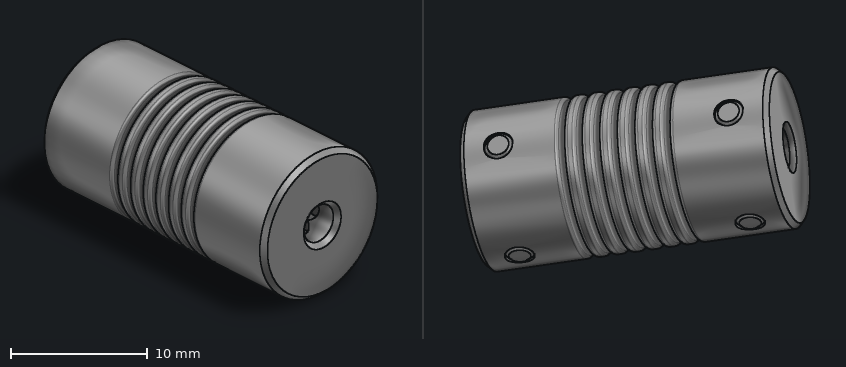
import cadquery as cq

coupling_length = 23.5
half_length = coupling_length / 2
outer_radius = 6.0
hub_length = 7.5
end_chamfer = 0.4

groove_count = 7
groove_width = 0.5
groove_floor_radius = 3.5
rim_fillet = 0.25
flex_length = coupling_length - 2 * hub_length
groove_pitch = (flex_length - groove_width) / (groove_count - 1)

bore_radius = 1.5
bore_chamfer = 0.4

screw_radius = 1.1
screw_length = 4.0
screw_flat_radius = 0.815
screw_end_chamfer = screw_radius - screw_flat_radius
screw_from_end = 3.0
screw_x = half_length - screw_from_end
screw_directions = [(0, 1, 0), (0, 0, -1)]
screw_places = [(x, direction) for x in (-screw_x, screw_x) for direction in screw_directions]


def axial_rod(radius):
    """Cylinder along X over the full length of the coupling."""
    return cq.Workplane("YZ", origin=(-half_length, 0, 0)).circle(radius).extrude(coupling_length)


def radial_rod(x, direction, radius, start, end):
    """Radial cylinder at axial place x, from distance start out to distance end from the axis."""
    origin = cq.Vector(x, 0, 0) + cq.Vector(*direction) * start
    plane = cq.Plane(origin=origin, xDir=(1, 0, 0), normal=direction)
    return cq.Workplane(plane).circle(radius).extrude(end - start)


def groove_cutter(x):
    """Ring that cuts one groove: full round floor, and a rim fillet on each side of the mouth."""
    half_width = groove_width / 2
    wall_bottom = groove_floor_radius + half_width
    wall_top = outer_radius - rim_fillet
    half_mouth = half_width + rim_fillet
    profile = (
        cq.Workplane("XY")
        .moveTo(x - half_width, wall_bottom)
        .threePointArc((x, groove_floor_radius), (x + half_width, wall_bottom))
        .lineTo(x + half_width, wall_top)
        .radiusArc((x + half_mouth, outer_radius), rim_fillet)
        .lineTo(x - half_mouth, outer_radius)
        .radiusArc((x - half_width, wall_top), rim_fillet)
        .close()
    )
    return profile.revolve(360, (0, 0, 0), (1, 0, 0))


def make_coupling():
    """One-piece body: two hubs joined by the grooved middle, with bore and screw holes."""
    body = axial_rod(outer_radius).faces("<X or >X").chamfer(end_chamfer)

    body = body.cut(axial_rod(bore_radius))
    bore_edges = body.faces("<X or >X").edges(cq.selectors.RadiusNthSelector(0))
    body = bore_edges.chamfer(bore_chamfer)

    first_groove_x = -groove_pitch * (groove_count - 1) / 2
    for index in range(groove_count):
        body = body.cut(groove_cutter(first_groove_x + index * groove_pitch))

    for x, direction in screw_places:
        body = body.cut(radial_rod(x, direction, screw_radius, 0, outer_radius))
    return body


def make_set_screw(x, direction):
    """Set screw whose chamfered outer end is level with the hub's outer radius."""
    screw = radial_rod(x, direction, screw_radius, outer_radius - screw_length, outer_radius)
    outer_end = screw.faces(cq.selectors.DirectionMinMaxSelector(cq.Vector(*direction)))
    return outer_end.chamfer(screw_end_chamfer)


coupling = make_coupling()
set_screws = [make_set_screw(x, direction).val() for x, direction in screw_places]

result = cq.Compound.makeCompound([coupling.val(), *set_screws])